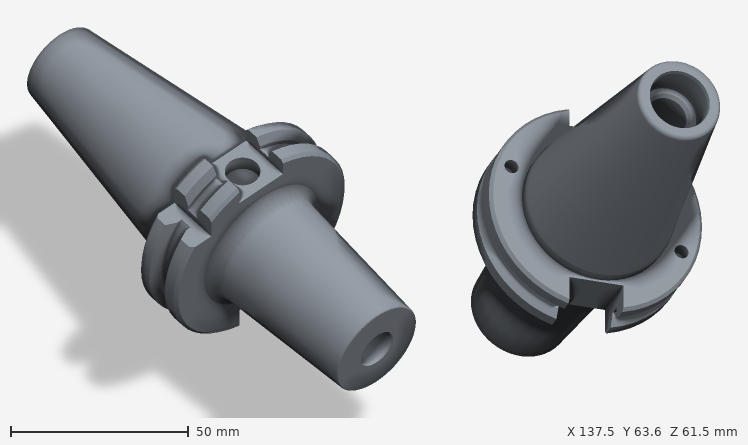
import cadquery as cq
import math

total_length = 137.5
taper_length = 68.3
flange_start = 71.6
flange_width = 16.0
flange_end = flange_start + flange_width
groove_center = 79.5
nose_start = 92.0

taper_ratio = 7 / 24
shank_diameter = 44.4
shank_radius = shank_diameter / 2
taper_end_radius = shank_radius - taper_length * taper_ratio / 2
taper_end_round = 1.2
nose_radius = 17.7
nose_end_radius = 14.7
nose_end_chamfer = 0.3
neck_flange_radius = 20.9

flange_radius = 31.8
flange_edge_chamfer = 1.0
groove_floor_radius = 27.9
groove_floor_width = 3.7
groove_wall_radius = 29.2
groove_flare_angle = math.radians(30)

slot_width = 16.1
top_slot_floor = 25.0
bottom_slot_floor = 22.8
notch_offset = 18.5

slot_hole_diameter = 10.0
slot_hole_depth = 5.0

coolant_angles = (20, 200)
coolant_circle_radius = 27.0
coolant_hole_radius = 2.0
coolant_hole_depth = 5.0
drill_half_angle = math.radians(59)
radial_hole_diameter = 3.0

bore_radius = 5.9
bore_chamfer = 1.0
counterbore_radius = 8.7
counterbore_floor_radius = 8.5
counterbore_depth = 10.5
counterbore_chamfer = 0.3
counterbore_chamfer_length = 1.2
counterbore_floor_taper_length = 1.1


def revolve_about_axis(profile):
    """Turn a closed (x, radius) profile about the X axis."""
    return profile.close().revolve(360, (0, 0, 0), (1, 0, 0))


def make_body():
    floor_half = groove_floor_width / 2
    flare = (flange_radius - groove_wall_radius) * math.tan(groove_flare_angle)
    mouth_half = floor_half + flare
    shoulder_radius = flange_radius - flange_edge_chamfer
    neck_run = nose_start - flange_end
    neck_sweep = 2 * math.atan2(neck_flange_radius - nose_radius, neck_run)
    neck_arc_radius = neck_run / math.sin(neck_sweep)
    neck_middle = (
        nose_start - neck_arc_radius * math.sin(neck_sweep / 2),
        nose_radius + neck_arc_radius * (1 - math.cos(neck_sweep / 2)),
    )
    profile = (
        cq.Workplane("XY")
        .lineTo(0, taper_end_radius)
        .lineTo(taper_length, shank_radius)
        .lineTo(flange_start, shank_radius)
        .lineTo(flange_start, shoulder_radius)
        .lineTo(flange_start + flange_edge_chamfer, flange_radius)
        .lineTo(groove_center - mouth_half, flange_radius)
        .lineTo(groove_center - floor_half, groove_wall_radius)
        .lineTo(groove_center - floor_half, groove_floor_radius)
        .lineTo(groove_center + floor_half, groove_floor_radius)
        .lineTo(groove_center + floor_half, groove_wall_radius)
        .lineTo(groove_center + mouth_half, flange_radius)
        .lineTo(flange_end - flange_edge_chamfer, flange_radius)
        .lineTo(flange_end, shoulder_radius)
        .lineTo(flange_end, neck_flange_radius)
        .threePointArc(neck_middle, (nose_start, nose_radius))
        .lineTo(total_length, nose_end_radius)
        .lineTo(total_length, 0)
    )
    body = revolve_about_axis(profile)
    body = body.faces("<X").edges().fillet(taper_end_round)
    return body.faces(">X").edges().chamfer(nose_end_chamfer)


def make_bore():
    mouth_radius = counterbore_radius + counterbore_chamfer
    throat_radius = bore_radius + bore_chamfer
    profile = (
        cq.Workplane("XY")
        .lineTo(0, mouth_radius)
        .lineTo(counterbore_chamfer_length, counterbore_radius)
        .lineTo(counterbore_depth - counterbore_floor_taper_length, counterbore_radius)
        .lineTo(counterbore_depth, counterbore_floor_radius)
        .lineTo(counterbore_depth, throat_radius)
        .lineTo(counterbore_depth + bore_chamfer, bore_radius)
        .lineTo(total_length, bore_radius)
        .lineTo(total_length, 0)
    )
    return revolve_about_axis(profile)


def flange_block(y_min, y_max, z_min, z_max):
    """A cutting block as wide as the flange."""
    return cq.Workplane("XY").box(
        flange_width, y_max - y_min, z_max - z_min, centered=False
    ).translate((flange_start, y_min, z_min))


def make_flange_cuts():
    half_slot = slot_width / 2
    top_slot = flange_block(-half_slot, half_slot, top_slot_floor, flange_radius)
    bottom_slot = flange_block(-half_slot, half_slot, -flange_radius, -bottom_slot_floor)
    notch = flange_block(-flange_radius, -notch_offset, notch_offset, flange_radius)
    return top_slot.union(bottom_slot).union(notch)


def make_slot_hole():
    return (
        cq.Workplane("XY", origin=(groove_center, 0, top_slot_floor - slot_hole_depth))
        .circle(slot_hole_diameter / 2)
        .extrude(slot_hole_depth)
    )


def make_coolant_holes():
    """Drilled axial hole in the flange face and radial hole from groove to bore."""
    tip_length = coolant_hole_radius / math.tan(drill_half_angle)
    axial_profile = (
        cq.Workplane("XY")
        .lineTo(0, coolant_hole_radius)
        .lineTo(coolant_hole_depth, coolant_hole_radius)
        .lineTo(coolant_hole_depth + tip_length, 0)
    )
    axial = revolve_about_axis(axial_profile).translate((flange_start, coolant_circle_radius, 0))
    radial = (
        cq.Workplane("XZ", origin=(groove_center, 0, 0))
        .circle(radial_hole_diameter / 2)
        .extrude(-groove_wall_radius)
    )
    pair = axial.union(radial)
    holes = cq.Workplane("XY")
    for angle in coolant_angles:
        holes = holes.union(pair.rotate((0, 0, 0), (1, 0, 0), angle))
    return holes


result = (
    make_body()
    .cut(make_bore())
    .cut(make_flange_cuts())
    .cut(make_slot_hole())
    .cut(make_coolant_holes())
)